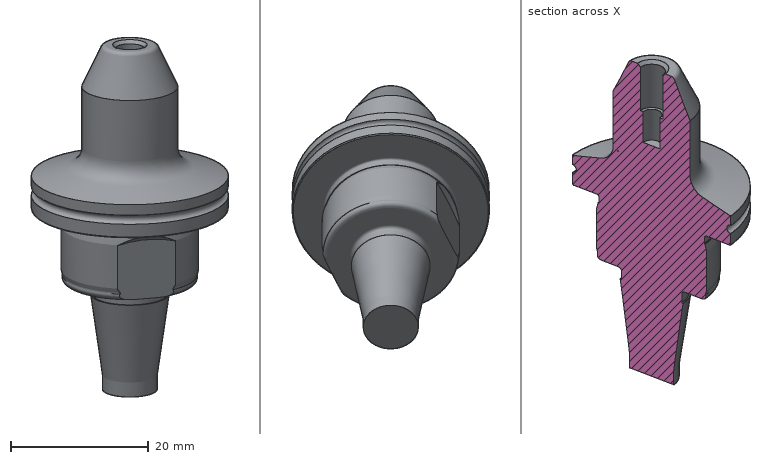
import cadquery as cq
import math

TOTAL_HEIGHT = 52.45
PIN_TOP = 2.2
TAPER_TOP = 14.5
COLLAR_BOTTOM = 16.45
RELIEF_BOTTOM = 17.45
RELIEF_TOP = 17.6
COLLAR_LAND_BOTTOM = 18.3
COLLAR_LAND_TOP = 24.9
COLLAR_TOP = 26.05
FLANGE_BOTTOM = 27.4
GROOVE_CENTRE = 30.2
RIM_TOP = 32.5
NOSE_CONE_BOTTOM = 46.1

PIN_RADIUS = 8.0 / 2
SHANK_NECK_RADIUS = 11.0 / 2
COLLAR_LAND_RADIUS = 20.05 / 2
COLLAR_TOP_RADIUS = 19.4 / 2
RELIEF_RADIUS = 19.65 / 2
FLANGE_NECK_RADIUS = 19.2 / 2
FLANGE_RADIUS = 28.7 / 2
NOSE_RADIUS = 14.0 / 2
NOSE_TIP_RADIUS = 8.0 / 2
BORE_RADIUS = 4.0 / 2
BORE_CHAMFER_RADIUS = 5.0 / 2
PILOT_RADIUS = 3.0 / 2

NOSE_TIP_FILLET = 0.85
NOSE_ROOT_FILLET = 3.0
FLANGE_NECK_FILLET = 0.3
SHANK_NECK_FILLET = 0.5
COLLAR_STEP_FILLET = 0.08
FLANGE_CHAMFER = 0.15
BEAD_RADIUS = 0.75
GROOVE_RADIUS = 0.7

SHANK_HALF_ANGLE = 8.0
FLANGE_TOP_SLOPE = 15.0

FLAT_DISTANCE = 18.0 / 2
CUTTER_RADIUS = 17.3
CUTTER_TOP = 25.45

BORE_DEPTH = 7.85
PILOT_DEPTH = 13.1


def turned_blank():
    """Revolve the half profile, with sharp corners wherever a fillet follows."""
    taper_rise = (TAPER_TOP - PIN_TOP) * math.tan(math.radians(SHANK_HALF_ANGLE))

    slope = math.radians(FLANGE_TOP_SLOPE)
    root_sweep = math.pi / 2 - slope
    corner_z = RIM_TOP + (FLANGE_RADIUS - NOSE_RADIUS) * math.tan(slope)
    root_centre_r = NOSE_RADIUS + NOSE_ROOT_FILLET
    root_centre_z = corner_z + NOSE_ROOT_FILLET * math.tan(root_sweep / 2)

    def root_point(angle):
        return (
            root_centre_r - NOSE_ROOT_FILLET * math.cos(angle),
            root_centre_z - NOSE_ROOT_FILLET * math.sin(angle),
        )

    bead_centre_z = COLLAR_BOTTOM + BEAD_RADIUS
    bead_reach = math.sqrt(BEAD_RADIUS**2 - (RELIEF_BOTTOM - bead_centre_z) ** 2)
    bead_centre_r = RELIEF_RADIUS - bead_reach
    bead_crest = (bead_centre_r + BEAD_RADIUS, bead_centre_z)

    profile = (
        cq.Workplane("XZ")
        .moveTo(0, 0)
        .lineTo(PIN_RADIUS, 0)
        .lineTo(PIN_RADIUS, PIN_TOP)
        .lineTo(PIN_RADIUS + taper_rise, TAPER_TOP)
        .lineTo(SHANK_NECK_RADIUS, TAPER_TOP)
        .lineTo(SHANK_NECK_RADIUS, COLLAR_BOTTOM)
        .lineTo(bead_centre_r, COLLAR_BOTTOM)
        .threePointArc(bead_crest, (RELIEF_RADIUS, RELIEF_BOTTOM))
        .lineTo(RELIEF_RADIUS, RELIEF_TOP)
        .lineTo(COLLAR_LAND_RADIUS, COLLAR_LAND_BOTTOM)
        .lineTo(COLLAR_LAND_RADIUS, COLLAR_LAND_TOP)
        .lineTo(COLLAR_TOP_RADIUS, COLLAR_TOP)
        .lineTo(FLANGE_NECK_RADIUS, COLLAR_TOP)
        .lineTo(FLANGE_NECK_RADIUS, FLANGE_BOTTOM)
        .lineTo(FLANGE_RADIUS - FLANGE_CHAMFER, FLANGE_BOTTOM)
        .lineTo(FLANGE_RADIUS, FLANGE_BOTTOM + FLANGE_CHAMFER)
        .lineTo(FLANGE_RADIUS, GROOVE_CENTRE - GROOVE_RADIUS)
        .threePointArc(
            (FLANGE_RADIUS - GROOVE_RADIUS, GROOVE_CENTRE),
            (FLANGE_RADIUS, GROOVE_CENTRE + GROOVE_RADIUS),
        )
        .lineTo(FLANGE_RADIUS, RIM_TOP)
        .lineTo(*root_point(root_sweep))
        .threePointArc(root_point(root_sweep / 2), root_point(0))
        .lineTo(NOSE_RADIUS, NOSE_CONE_BOTTOM)
        .lineTo(NOSE_TIP_RADIUS, TOTAL_HEIGHT)
        .lineTo(0, TOTAL_HEIGHT)
        .close()
    )
    blank = profile.revolve(360, (0, 0), (0, 1))

    corners = [
        (SHANK_NECK_RADIUS, COLLAR_BOTTOM, SHANK_NECK_FILLET),
        (FLANGE_NECK_RADIUS, COLLAR_TOP, COLLAR_STEP_FILLET),
        (FLANGE_NECK_RADIUS, FLANGE_BOTTOM, FLANGE_NECK_FILLET),
        (NOSE_TIP_RADIUS, TOTAL_HEIGHT, NOSE_TIP_FILLET),
    ]
    for radius, height, size in corners:
        blank = fillet_ring(blank, radius, height, size)
    return blank


def fillet_ring(body, radius, height, size):
    """Fillet the circular edge of the given radius that lies at the given height."""
    tolerance = 0.0005

    def on_ring(edge):
        if edge.geomType() != "CIRCLE":
            return False
        same_height = abs(edge.Center().z - height) < tolerance
        return same_height and abs(edge.radius() - radius) < tolerance

    ring = [edge for edge in body.edges().vals() if on_ring(edge)]
    return body.newObject(ring).fillet(size)


def flat_cutter():
    """Bevelled disc about X that mills the +X flat through the foot of the collar."""
    cutter_depth = 2.1
    cutter = (
        cq.Workplane("YZ", origin=(FLAT_DISTANCE, 0, CUTTER_TOP - CUTTER_RADIUS))
        .circle(CUTTER_RADIUS)
        .workplane(offset=cutter_depth)
        .circle(CUTTER_RADIUS + cutter_depth)
        .loft(ruled=True)
    )
    window_height = FLANGE_BOTTOM - TAPER_TOP
    window = (
        cq.Workplane("XY")
        .box(FLANGE_RADIUS * 2, FLANGE_RADIUS * 2, window_height, centered=(True, True, False))
        .translate((0, 0, TAPER_TOP))
    )
    return cutter.intersect(window)


def stepped_bore():
    """Chamfered bore with a narrower blind pilot, opening at the nose tip."""
    chamfer_depth = BORE_CHAMFER_RADIUS - BORE_RADIUS
    return (
        cq.Workplane("XZ")
        .moveTo(0, TOTAL_HEIGHT)
        .lineTo(BORE_CHAMFER_RADIUS, TOTAL_HEIGHT)
        .lineTo(BORE_RADIUS, TOTAL_HEIGHT - chamfer_depth)
        .lineTo(BORE_RADIUS, TOTAL_HEIGHT - BORE_DEPTH)
        .lineTo(PILOT_RADIUS, TOTAL_HEIGHT - BORE_DEPTH)
        .lineTo(PILOT_RADIUS, TOTAL_HEIGHT - PILOT_DEPTH)
        .lineTo(0, TOTAL_HEIGHT - PILOT_DEPTH)
        .close()
        .revolve(360, (0, 0), (0, 1))
    )


part = turned_blank()
for side_angle in (0, 180):
    part = part.cut(flat_cutter().rotate((0, 0, 0), (0, 0, 1), side_angle))
result = part.cut(stepped_bore())